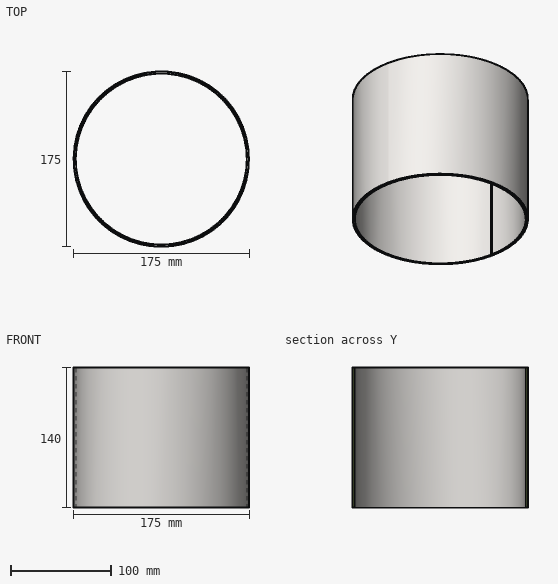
import cadquery as cq

outer_diameter = 175.0
height = 140.0
wall = 2.5
slit_width = 1.5
outer_chamfer = 0.5
inner_chamfer = 0.25

outer_radius = outer_diameter / 2
inner_radius = outer_radius - wall


def chamfer_rims(body, radius_rank, size):
    """Chamfer both circular rims; rank 0 is the bore, rank 1 the outside."""
    rims = body.faces("|Z").edges(cq.selectors.RadiusNthSelector(radius_rank))
    return rims.chamfer(size)


sleeve = cq.Workplane("XY").circle(outer_radius).circle(inner_radius).extrude(height)
sleeve = chamfer_rims(sleeve, 1, outer_chamfer)
sleeve = chamfer_rims(sleeve, 0, inner_chamfer)

slit_cutter = cq.Workplane("XY").box(
    outer_diameter, slit_width, height, centered=(False, False, False)
).translate((-outer_diameter, 0, 0))

result = sleeve.cut(slit_cutter)